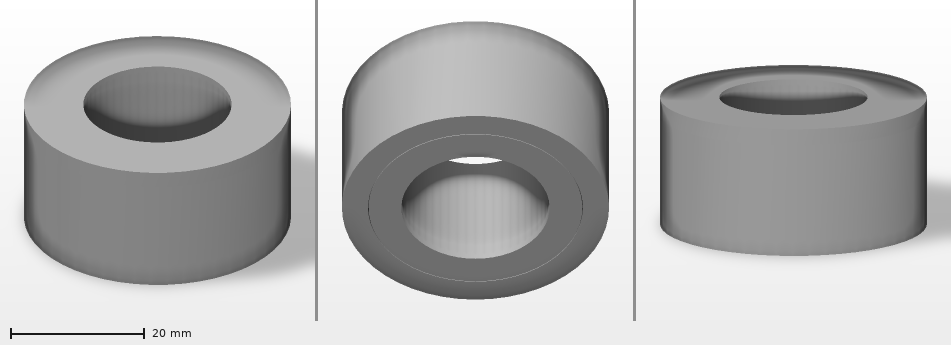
import cadquery as cq

outer_diameter = 40.0
total_height = 19.5
bore_diameter = 22.2

flange_thickness = 2.5
sleeve_diameter = 32.0

ring_bore_diameter = 32.2
ring_height = total_height - flange_thickness


def tube(outer, inner, height):
    """Plain tube standing on Z = 0."""
    return cq.Workplane("XY").circle(outer / 2).circle(inner / 2).extrude(height)


def make_bushing():
    """Sleeve through the full height, with the flange that caps the outer ring."""
    sleeve = tube(sleeve_diameter, bore_diameter, total_height)
    flange = tube(outer_diameter, bore_diameter, flange_thickness).translate((0, 0, ring_height))
    return sleeve.union(flange)


def make_outer_ring():
    """Ring around the sleeve, touching the underside of the flange."""
    return tube(outer_diameter, ring_bore_diameter, ring_height)


bushing = make_bushing()
outer_ring = make_outer_ring()

result = cq.Compound.makeCompound([bushing.val(), outer_ring.val()])